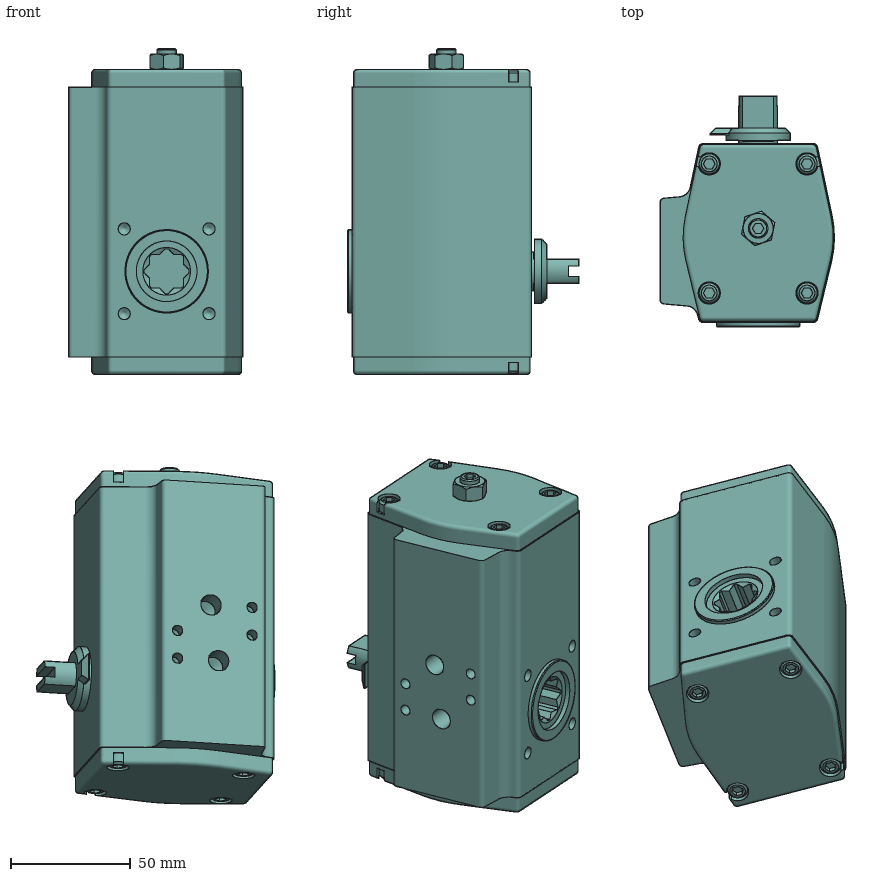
import cadquery as cq
import math


cap_height = 7.4
body_height = 112.9
nut_height = 6.5
stud_end = 136.3
body_top = cap_height + body_height
cap_top = body_top + cap_height

front_y = -39.4
back_y = 35.6
end_half_width = 24.5
apex_half_width = 33.0
apex_y = -4.4
side_radius = 42.3
corner_radius = 2.2
cap_inset = 0.5
cap_edge_radius = 1.6

pad_x = -41.0
pad_back_y = 12.5
pad_front_y = -31.5
pad_draft = math.radians(5)
pad_edge_radius = 1.9
pad_root_radius = 5.0
pad_root_x = -20.5

pad_hole_y = -9.7
pad_hole_z = 55.3
port_pitch_y = 3.3
port_pitch_z = 24.0
port_diameter = 8.7
port_depth = 10.9
passage_radius = 0.8
passage_setback = 0.8
passage_length = 10.9
screw_hole_pitch_y = 32.0
screw_hole_pitch_z = 12.0
screw_hole_diameter = 4.4
screw_hole_depth = 6.8

drive_z = 43.2
spigot_radius = 17.5
spigot_height = 1.9
spigot_chamfer = 0.4
recess_radius = 12.7
recess_depth = 2.0
star_flats = 14.2
star_tip_radius = 9.4
star_depth = 20.5
star_lead_radius = 10.0
star_lead_end_radius = 7.1
star_lead_depth = 1.4
mount_pitch = 35.5
mount_diameter = 5.0
mount_depth = 10.9
drill_tip_angle = 118

shaft_radius = 8.2
shaft_tip_y = 55.3
shaft_flats = 10.1
slot_width = 4.2
slot_depth = 4.2
collar_radius = 13.5
collar_near_y = 36.8
collar_far_y = 42.0
collar_chamfer = 2.2
neck_chamfer = 0.4
pointer_reach = 20.0
pointer_half_width = 5.6
pointer_thickness = 2.9
pointer_bevel = 2.3

cap_screw_x = 20.5
cap_screw_y = 27.0
pocket_radius = 4.6
pocket_depth = 5.2
head_radius = 4.2
head_height = 4.6
head_chamfer = 1.0
head_socket_corners = 4.9
head_socket_depth = 2.0
relief_width = 4.1
relief_length = 8.2
nut_corners = 14.7
nut_angle = 19
nut_face_radius = 6.3
nut_chamfer_height = 0.7
stud_radius = 4.1
stud_chamfer = 0.5
stud_socket_corners = 4.8
stud_socket_depth = 2.7


def barrel(base_z, height, inset):
    """Barrel-shaped block, its outline pulled in by the inset."""
    half_outline = [
        (end_half_width, front_y),
        (apex_half_width, apex_y),
        (end_half_width, back_y),
    ]
    mirrored = [(-x, y) for x, y in reversed(half_outline)]
    outline = cq.Workplane("XY", origin=(0, 0, base_z)).polyline(half_outline + mirrored).close()
    if inset:
        outline = outline.offset2D(-inset, "intersection")
    block = outline.extrude(height)
    block = block.edges("|Z and (>X or <X)").fillet(side_radius - inset)
    return block.edges("|Z and (>Y or <Y)").fillet(corner_radius - inset)


def pad():
    """Connection pad with drafted sides and rounded outer edges."""
    spread = (pad_root_x - pad_x) * math.tan(pad_draft)
    outline = [
        (pad_x, pad_front_y),
        (pad_root_x, pad_front_y - spread),
        (pad_root_x, pad_back_y + spread),
        (pad_x, pad_back_y),
    ]
    block = cq.Workplane("XY", origin=(0, 0, cap_height)).polyline(outline).close().extrude(body_height)
    return block.edges("|Z and <X").fillet(pad_edge_radius)


def drilled_hole(diameter, depth):
    """Blind hole along +Z from the origin, with a conical bottom."""
    radius = diameter / 2
    tip = radius / math.tan(math.radians(drill_tip_angle / 2))
    profile = [(0, 0), (radius, 0), (radius, depth), (0, depth + tip)]
    return cq.Workplane("XZ").polyline(profile).close().revolve(360, (0, 0), (0, 1))


def drive_disc(radius, near_y, far_y):
    """Disc on the drive axis."""
    plane = cq.Plane(origin=(0, near_y, drive_z), xDir=(1, 0, 0), normal=(0, 1, 0))
    return cq.Workplane(plane).circle(radius).extrude(far_y - near_y)


def make_body():
    """Body extrusion with the pad blended in by concave fillets."""
    block = barrel(cap_height, body_height, 0).union(pad())
    root_box = cq.selectors.BoxSelector(
        (-apex_half_width, pad_front_y - pad_root_radius, 0),
        (-end_half_width, pad_back_y + pad_root_radius, cap_top),
    )
    return block.edges("|Z").edges(root_box).fillet(pad_root_radius)


def cap_screw():
    """Socket screw head standing on the XY plane."""
    head = cq.Workplane("XY").circle(head_radius).extrude(head_height).faces(">Z").chamfer(head_chamfer)
    return head.faces(">Z").workplane().polygon(6, head_socket_corners).cutBlind(-head_socket_depth)


def make_cap():
    """Upper end cap with sunk screws; the back pockets are open to the sides."""
    cap = barrel(body_top, cap_height, cap_inset).faces(">Z").edges().fillet(cap_edge_radius)
    floor_z = cap_top - pocket_depth
    pocket = cq.Workplane("XY").circle(pocket_radius).extrude(pocket_depth)
    side_slope = math.degrees(math.atan((apex_half_width - end_half_width) / (back_y - apex_y)))
    for side in (-1, 1):
        relief = cq.Workplane("XY").box(
            relief_length, relief_width, pocket_depth, centered=(False, True, False))
        outward = side_slope if side > 0 else 180 - side_slope
        relief = relief.rotate((0, 0, 0), (0, 0, 1), outward)
        cap = cap.cut(relief.translate((side * cap_screw_x, cap_screw_y, floor_z)))
        for end in (-1, 1):
            place = (side * cap_screw_x, end * cap_screw_y, floor_z)
            cap = cap.cut(pocket.translate(place)).union(cap_screw().translate(place))
    return cap


def make_nut():
    """Locked adjusting stud: chamfered hexagon nut with a socketed stud end."""
    nut = cq.Workplane("XY").polygon(6, nut_corners).extrude(nut_height)
    nut = nut.rotate((0, 0, 0), (0, 0, 1), nut_angle)
    corner = nut_corners / 2
    profile = [
        (0, 0),
        (nut_face_radius, 0),
        (corner, nut_chamfer_height),
        (corner, nut_height - nut_chamfer_height),
        (nut_face_radius, nut_height),
        (0, nut_height),
    ]
    blank = cq.Workplane("XZ").polyline(profile).close().revolve(360, (0, 0), (0, 1))
    nut = nut.intersect(blank).translate((0, 0, cap_top))
    stud = cq.Workplane("XY", origin=(0, 0, cap_top)).circle(stud_radius).extrude(stud_end - cap_top)
    stud = stud.faces(">Z").chamfer(stud_chamfer)
    socket = cq.Workplane("XY", origin=(0, 0, stud_end)).polygon(6, stud_socket_corners)
    return nut.union(stud).cut(socket.extrude(-stud_socket_depth))


def make_shaft_end():
    """Flatted, slotted shaft end with its indicator collar and pointer."""
    length = shaft_tip_y - back_y
    middle_y = (shaft_tip_y + back_y) / 2
    flats = cq.Workplane("XY").box(2 * shaft_radius, length, shaft_flats).translate((0, middle_y, drive_z))
    shaft = drive_disc(shaft_radius, back_y, shaft_tip_y).intersect(flats)
    slot = cq.Workplane("XY").box(2 * shaft_radius, slot_depth, slot_width)
    shaft = shaft.cut(slot.translate((0, shaft_tip_y - slot_depth / 2, drive_z)))
    neck = drive_disc(shaft_radius, back_y, collar_near_y).faces(">Y").chamfer(neck_chamfer)
    collar = drive_disc(collar_radius, collar_near_y, collar_far_y).faces(">Y").chamfer(collar_chamfer)
    pointer = cq.Workplane("XY").box(
        pointer_reach, pointer_thickness, 2 * pointer_half_width, centered=(False, False, True))
    pointer = pointer.faces(">Y").edges("<X or >Z or <Z").chamfer(pointer_bevel)
    pointer = pointer.translate((-pointer_reach, collar_far_y - pointer_thickness, drive_z))
    return shaft.union(neck).union(collar).union(pointer)


def star_bore(face_y):
    """Recess and eight-pointed drive socket cut inward from the spigot face."""
    recess = drive_disc(recess_radius, face_y, face_y + recess_depth)
    socket_y = face_y + recess_depth
    lead = cq.Workplane(cq.Solid.makeCone(
        star_lead_radius,
        star_lead_end_radius,
        star_lead_depth,
        pnt=cq.Vector(0, socket_y, drive_z),
        dir=cq.Vector(0, 1, 0),
    ))
    square = cq.Workplane("XY").box(star_flats, star_depth, star_flats, centered=(True, False, True))
    star = square.union(square.rotate((0, 0, 0), (0, 1, 0), 45)).translate((0, socket_y, drive_z))
    star = star.intersect(drive_disc(star_tip_radius, socket_y, socket_y + star_depth))
    return recess.union(lead).union(star)


def cut_pad_holes(solid):
    """Two air ports and four screw holes in the pad face."""
    port = drilled_hole(port_diameter, port_depth)
    screw_hole = drilled_hole(screw_hole_diameter, screw_hole_depth)
    upper_z = pad_hole_z + screw_hole_pitch_z
    lower_z = pad_hole_z - screw_hole_pitch_z
    back_row = pad_hole_y + screw_hole_pitch_y / 2
    front_row = pad_hole_y - screw_hole_pitch_y / 2
    holes = [
        (port, pad_hole_y + port_pitch_y / 2, pad_hole_z + port_pitch_z / 2),
        (port, pad_hole_y - port_pitch_y / 2, pad_hole_z - port_pitch_z / 2),
        (screw_hole, back_row, pad_hole_z),
        (screw_hole, back_row, lower_z),
        (screw_hole, front_row, pad_hole_z),
        (screw_hole, front_row, upper_z),
    ]
    for hole, y, z in holes:
        inward = hole.rotate((0, 0, 0), (0, 1, 0), 90)
        solid = solid.cut(inward.translate((pad_x, y, z)))
    return solid


def cut_passage(solid):
    """Air passage running down from the conical bottom of the upper port."""
    start = (
        pad_x + port_depth + passage_setback,
        pad_hole_y + port_pitch_y / 2,
        pad_hole_z + port_pitch_z / 2,
    )
    return solid.cut(cq.Workplane("XY", origin=start).circle(passage_radius).extrude(-passage_length))


def cut_mount_holes(solid):
    """Four mounting holes around the spigot."""
    inward = drilled_hole(mount_diameter, mount_depth).rotate((0, 0, 0), (1, 0, 0), -90)
    for side in (-1, 1):
        for level in (-1, 1):
            place = (side * mount_pitch / 2, front_y, drive_z + level * mount_pitch / 2)
            solid = solid.cut(inward.translate(place))
    return solid


spigot_y = front_y - spigot_height
spigot = drive_disc(spigot_radius, spigot_y, front_y).faces("<Y").chamfer(spigot_chamfer)
upper_cap = make_cap()
lower_cap = upper_cap.mirror("XY", (0, 0, cap_top / 2))

result = make_body().union(upper_cap).union(lower_cap)
result = result.union(make_nut()).union(make_shaft_end()).union(spigot)
result = result.cut(star_bore(spigot_y))
result = cut_pad_holes(result)
result = cut_passage(result)
result = cut_mount_holes(result)